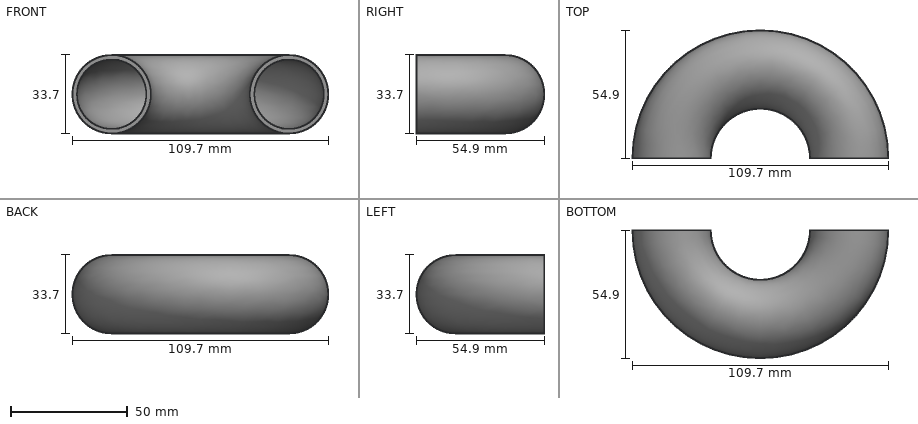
import cadquery as cq

overall_width = 109.7
pipe_diameter = 33.7
wall_thickness = 2.0
bend_angle = 180.0

bore_diameter = pipe_diameter - 2 * wall_thickness
bend_radius = (overall_width - pipe_diameter) / 2

pipe_section = (
    cq.Workplane("XZ")
    .center(bend_radius, 0)
    .circle(pipe_diameter / 2)
    .circle(bore_diameter / 2)
)
bend_axis_start = (-bend_radius, 0)
bend_axis_end = (-bend_radius, 1)

result = pipe_section.revolve(bend_angle, bend_axis_start, bend_axis_end)